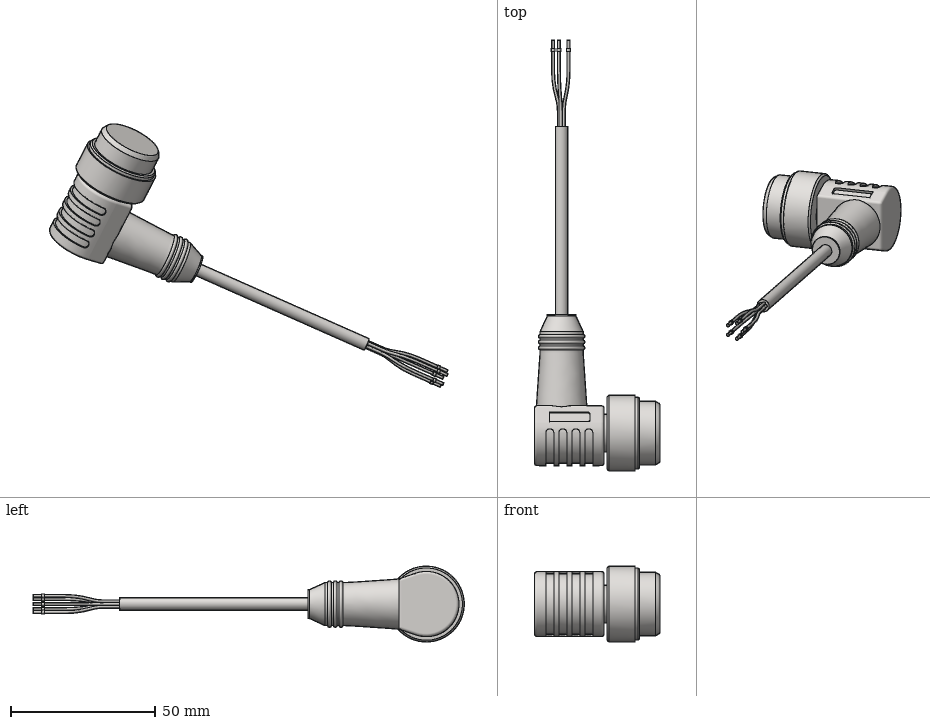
import cadquery as cq
import math


NECK_R = 6.6
RING_R = 26.3 / 2
RING_EDGE_R = 25.0 / 2
RING_START_X = 15.7
RING_CHAMFER = RING_R - RING_EDGE_R
RING_SHOULDER_X = 25.4
RING_END_X = 27.0
RING_END_CHAMFER = 0.5
NOSE_R = 22.1 / 2
NOSE_TIP_R = 19.9 / 2
NOSE_TAPER_X = 32.4
NOSE_TIP_CHAMFER = 0.4
NOSE_END_X = 34.08

BODY_R = 11.3
BODY_START_X = -9.42
BODY_END_X = 14.75
BODY_MID_X = (BODY_START_X + BODY_END_X) / 2
BODY_BACK_Y = 9.5
BODY_SLOPE = math.radians(19)
BODY_FILLET = 1.0

GROOVE_COUNT = 4
GROOVE_PITCH = 4.5
GROOVE_WIDTH = 2.75
GROOVE_DEPTH = 0.8
GROOVE_TOP_Y = 1.5

POCKET_START_X = -4.2
POCKET_END_X = 9.8
POCKET_START_Y = 4.0
POCKET_END_Y = 7.3
POCKET_DEPTH = 1.0
POCKET_CORNER_R = 0.8

BOOT_ROOT_R = 8.75
BOOT_R = 15.0 / 2
BOOT_END_R = 5.0
BOOT_TAPER_END_Y = 27.9
BOOT_CONE_Y = 35.1
BOOT_RIM_Y = 40.5
BOOT_END_Y = 41.0
RIDGE_COUNT = 3
RIDGE_FIRST_Y = 29.5
RIDGE_PITCH = 2.0
RIDGE_WIDTH = 1.3
RIDGE_HEIGHT = 0.55

CABLE_R = 4.4 / 2
CABLE_END_Y = 106.1
WIRE_COUNT = 5
WIRE_R = 1.05 / 2
COLLAR_R = 1.4 / 2
BUNDLE_OUTER_R = 3.0 / 2
BUNDLE_R = BUNDLE_OUTER_R - WIRE_R
SPREAD_R = 2.95
WIRE_OVERLAP = 1.0
WIRE_ROOT_Y = CABLE_END_Y - WIRE_OVERLAP
BEND_START_Y = 111.6
BEND_MIDDLE_Y = 116.1
BEND_END_Y = 125.1
WIRE_END_Y = 136.0
TIP_LENGTH = 2.9
COLLAR_LENGTH = 1.0
COLLAR_END_Y = WIRE_END_Y - TIP_LENGTH
COLLAR_START_Y = COLLAR_END_Y - COLLAR_LENGTH


def make_plug():
    """Neck, coupling ring and nose as one turned piece, starting inside the body."""
    return (
        cq.Workplane("XY")
        .moveTo(BODY_MID_X, 0)
        .lineTo(BODY_MID_X, NECK_R)
        .lineTo(RING_START_X, NECK_R)
        .lineTo(RING_START_X, RING_EDGE_R)
        .lineTo(RING_START_X + RING_CHAMFER, RING_R)
        .lineTo(RING_SHOULDER_X, RING_R)
        .lineTo(RING_SHOULDER_X, RING_EDGE_R)
        .lineTo(RING_END_X - RING_END_CHAMFER, RING_EDGE_R)
        .lineTo(RING_END_X, RING_EDGE_R - RING_END_CHAMFER)
        .lineTo(RING_END_X, NOSE_R)
        .lineTo(NOSE_TAPER_X, NOSE_R)
        .lineTo(NOSE_END_X - NOSE_TIP_CHAMFER, NOSE_TIP_R + NOSE_TIP_CHAMFER)
        .lineTo(NOSE_END_X, NOSE_TIP_R)
        .lineTo(NOSE_END_X, 0)
        .close()
        .revolve(360, (0, 0, 0), (1, 0, 0))
    )


def slope_height(y):
    """Z of the upper sloping plane, which is tangent to the round side of the body."""
    return (BODY_R - y * math.sin(BODY_SLOPE)) / math.cos(BODY_SLOPE)


def make_body():
    """Body outline in YZ, extruded along X, with rounded edges."""
    tangent_y = BODY_R * math.sin(BODY_SLOPE)
    tangent_z = BODY_R * math.cos(BODY_SLOPE)
    back_z = slope_height(BODY_BACK_Y)
    body = (
        cq.Workplane("YZ", origin=(BODY_START_X, 0, 0))
        .moveTo(BODY_BACK_Y, -back_z)
        .lineTo(BODY_BACK_Y, back_z)
        .lineTo(tangent_y, tangent_z)
        .threePointArc((-BODY_R, 0), (tangent_y, -tangent_z))
        .close()
        .extrude(BODY_END_X - BODY_START_X)
    )
    end_edges = body.faces("<X or >X").edges()
    back_edges = body.faces(">Y").edges("|X")
    return body.newObject(end_edges.add(back_edges).vals()).fillet(BODY_FILLET)


def make_grooves():
    """Cutter for the round-ended finger grooves, limited to a thin shell of the body."""
    slot_length = GROOVE_TOP_Y + 2 * BODY_R
    slot_mid_y = GROOVE_TOP_Y - slot_length / 2
    first_x = BODY_MID_X - (GROOVE_COUNT - 1) * GROOVE_PITCH / 2
    groove_points = [(first_x + i * GROOVE_PITCH, slot_mid_y) for i in range(GROOVE_COUNT)]
    slots = (
        cq.Workplane("XY")
        .pushPoints(groove_points)
        .slot2D(slot_length, GROOVE_WIDTH, 90)
        .extrude(2 * BODY_R, both=True)
    )
    shell = (
        cq.Workplane("YZ", origin=(BODY_START_X, 0, 0))
        .circle(BODY_R + GROOVE_DEPTH)
        .circle(BODY_R - GROOVE_DEPTH)
        .extrude(BODY_END_X - BODY_START_X)
    )
    return slots.intersect(shell)


def make_pocket():
    """Cutter for the pocket, square to the sloping plane, rounded at its +X end."""
    length = POCKET_END_X - POCKET_START_X
    width = (POCKET_END_Y - POCKET_START_Y) / math.cos(BODY_SLOPE)
    mid_y = (POCKET_START_Y + POCKET_END_Y) / 2
    mid_x = (POCKET_START_X + POCKET_END_X) / 2
    sloping_plane = cq.Plane(
        origin=(mid_x, mid_y, slope_height(mid_y)),
        xDir=(1, 0, 0),
        normal=(0, math.sin(BODY_SLOPE), math.cos(BODY_SLOPE)),
    )
    corner_edges = cq.ParallelDirSelector(sloping_plane.zDir)
    return (
        cq.Workplane(sloping_plane)
        .rect(length, width)
        .extrude(POCKET_DEPTH, both=True)
        .faces(">X")
        .edges(corner_edges)
        .fillet(POCKET_CORNER_R)
    )


def make_boot():
    """Tapered boot with rounded ridges and a conical end."""
    outline = (
        cq.Workplane("XY")
        .lineTo(BOOT_ROOT_R, 0)
        .lineTo(BOOT_ROOT_R, BODY_BACK_Y)
        .lineTo(BOOT_R, BOOT_TAPER_END_Y)
    )
    for i in range(RIDGE_COUNT):
        ridge_y = RIDGE_FIRST_Y + i * RIDGE_PITCH
        outline = outline.lineTo(BOOT_R, ridge_y - RIDGE_WIDTH / 2).threePointArc(
            (BOOT_R + RIDGE_HEIGHT, ridge_y), (BOOT_R, ridge_y + RIDGE_WIDTH / 2)
        )
    return (
        outline.lineTo(BOOT_R, BOOT_CONE_Y)
        .lineTo(BOOT_END_R, BOOT_RIM_Y)
        .lineTo(BOOT_END_R, BOOT_END_Y)
        .lineTo(0, BOOT_END_Y)
        .close()
        .revolve(360, (0, 0, 0), (0, 1, 0))
    )


def cylinder_along_y(radius, start_y, end_y, x=0):
    """Round bar parallel to Y in the plane Z = 0."""
    bar = cq.Solid.makeCylinder(radius, end_y - start_y, cq.Vector(x, start_y, 0), cq.Vector(0, 1, 0))
    return cq.Workplane(bar)


def bend_point(start, slope_angle, radius, turn):
    """Point halfway round an arc that starts at slope_angle from Y and turns by turn."""
    middle_angle = slope_angle + turn / 4
    chord = 2 * radius * math.sin(abs(turn) / 4)
    return (start[0] + chord * math.sin(middle_angle), start[1] + chord * math.cos(middle_angle))


def make_wire():
    """One wire with an S-bend of two tangent arcs and a collar near its end, on the +X side."""
    first_length = BEND_MIDDLE_Y - BEND_START_Y
    second_length = BEND_END_Y - BEND_MIDDLE_Y
    spread = SPREAD_R - BUNDLE_R
    turn = 2 * math.atan(spread / (first_length + second_length))
    start = (BUNDLE_R, BEND_START_Y)
    middle = (BUNDLE_R + first_length * math.tan(turn / 2), BEND_MIDDLE_Y)
    end = (SPREAD_R, BEND_END_Y)
    first_mid = bend_point(start, 0, first_length / math.sin(turn), turn)
    second_mid = bend_point(middle, turn, second_length / math.sin(turn), -turn)
    path = (
        cq.Workplane("XY")
        .moveTo(BUNDLE_R, WIRE_ROOT_Y)
        .lineTo(*start)
        .threePointArc(first_mid, middle)
        .threePointArc(second_mid, end)
        .lineTo(SPREAD_R, WIRE_END_Y)
    )
    section = cq.Workplane("XZ", origin=(BUNDLE_R, WIRE_ROOT_Y, 0)).circle(WIRE_R)
    collar = cylinder_along_y(COLLAR_R, COLLAR_START_Y, COLLAR_END_Y, SPREAD_R)
    return section.sweep(path).union(collar)


def make_wires():
    """Wires evenly spaced about the cable axis, the first one on the -X side."""
    first_wire = make_wire().mirror("YZ")
    step = 360 / WIRE_COUNT
    return [first_wire.rotate((0, 0, 0), (0, 1, 0), i * step) for i in range(WIRE_COUNT)]


result = make_body().cut(make_grooves()).union(make_boot()).cut(make_pocket())
result = result.union(make_plug())
result = result.union(cylinder_along_y(CABLE_R, BODY_BACK_Y, CABLE_END_Y))
for wire in make_wires():
    result = result.union(wire)